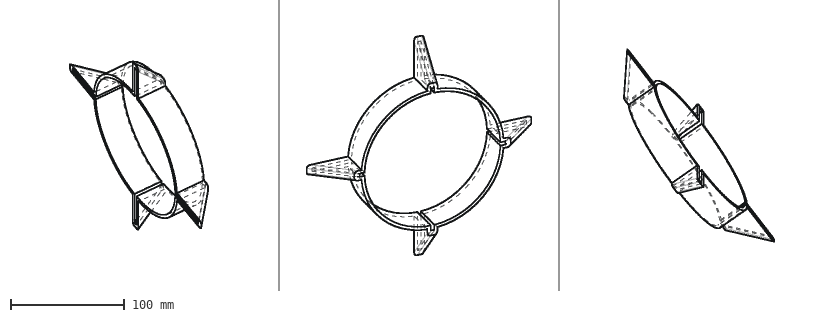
import cadquery as cq
import math

depth = 28.0
tip_radius = 109.2
ring_outer_radius = 69.2
wall = 3.3
ring_inner_radius = ring_outer_radius - wall
slot_width = 3.3
fin_width = slot_width + 2 * wall
fin_edge_radius = 2.6
slope_angle = 40.0
slope_run = depth / math.tan(math.radians(slope_angle))
end_wall = 5.0
fin_count = 4
fin_root_radius = (ring_inner_radius + ring_outer_radius) / 2
slot_start_radius = ring_inner_radius - wall

def sloped_plate(root, tip, width):
    """Plate in the XY plane, centred on Z, its outer edge sloping inward toward +Y."""
    outline = [(root, 0), (tip, 0), (tip - slope_run, depth), (root, depth)]
    return cq.Workplane("XY").polyline(outline).close().extrude(width / 2, both=True)

def fin():
    """Plate with both long edges of its sloped face rounded."""
    plate = sloped_plate(fin_root_radius, tip_radius, fin_width)
    return plate.edges("not (|X or |Y or |Z)").fillet(fin_edge_radius)

def slot():
    """Opening that splits the ring and hollows the fin behind its sloped wall."""
    return sloped_plate(slot_start_radius, tip_radius - end_wall, slot_width)

def around_axis(body, index):
    return body.rotate((0, 0, 0), (0, 1, 0), index * 360 / fin_count)

bore = cq.Workplane("XZ").circle(ring_inner_radius).extrude(-depth)
body = cq.Workplane("XZ").circle(ring_outer_radius).extrude(-depth).cut(bore)

for index in range(fin_count):
    body = body.union(around_axis(fin(), index))

for index in range(fin_count):
    body = body.cut(around_axis(slot(), index))

result = body.translate((0, -depth / 2, 0))